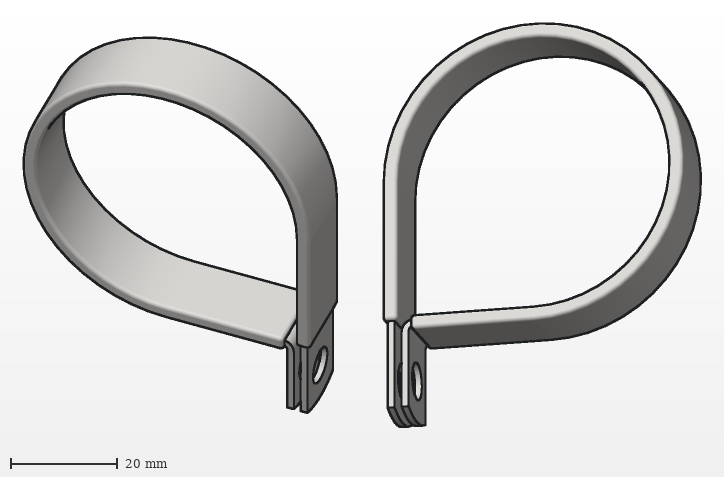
import cadquery as cq
import math

overall_height = 74.15
loop_diameter = 58.0
jacket_width = 14.3

jacket_thickness = 2.8
edge_round = 0.75
side_leg_length = 27.0
bottom_leg_length = 23.65

strap_thickness = jacket_thickness - 2 * edge_round
strap_width = jacket_width - 2 * edge_round
strap_embed = 2.2
tab_outer_x = 25.5
bend_inner_radius = 1.0
tip_sag = 1.3
hole_diameter = 7.1
hole_above_tip = 8.0

outer_radius = loop_diameter / 2
inner_radius = outer_radius - jacket_thickness
strap_outer_radius = outer_radius - edge_round
strap_inner_radius = strap_outer_radius - strap_thickness
tip_z = outer_radius - overall_height
bend_outer_radius = bend_inner_radius + strap_thickness
tab_inner_x = tab_outer_x - strap_thickness
bend_start_x = tab_outer_x - bend_outer_radius


def extrude_centred(outline, width):
    """Extrude a closed XZ outline by a width centred on Y = 0."""
    return outline.extrude(width / 2, both=True)


def make_jacket():
    diagonal = math.sqrt(0.5)
    outline = (
        cq.Workplane("XZ")
        .moveTo(outer_radius, -side_leg_length)
        .lineTo(outer_radius, 0)
        .threePointArc((-outer_radius * diagonal, outer_radius * diagonal), (0, -outer_radius))
        .lineTo(bottom_leg_length, -outer_radius)
        .lineTo(bottom_leg_length, -inner_radius)
        .lineTo(0, -inner_radius)
        .threePointArc((-inner_radius * diagonal, inner_radius * diagonal), (inner_radius, 0))
        .lineTo(inner_radius, -side_leg_length)
        .close()
    )
    body = extrude_centred(outline, jacket_width)
    side_end = cq.selectors.NearestToPointSelector(
        ((inner_radius + outer_radius) / 2, 0, -side_leg_length)
    )
    bottom_end = cq.selectors.NearestToPointSelector(
        (bottom_leg_length, 0, -(inner_radius + outer_radius) / 2)
    )
    rounded_faces = body.faces("<Y or >Y").add(body.faces(side_end)).add(body.faces(bottom_end))
    return rounded_faces.edges().fillet(edge_round)


def make_side_tab():
    outline = (
        cq.Workplane("XZ")
        .moveTo(strap_inner_radius, tip_z)
        .lineTo(strap_outer_radius, tip_z)
        .lineTo(strap_outer_radius, strap_embed - side_leg_length)
        .lineTo(strap_inner_radius, strap_embed - side_leg_length)
        .close()
    )
    return extrude_centred(outline, strap_width)


def make_bent_tab():
    bend_z = -strap_outer_radius - bend_inner_radius
    embed_x = bottom_leg_length - strap_embed
    outline = (
        cq.Workplane("XZ")
        .moveTo(embed_x, -strap_inner_radius)
        .lineTo(bend_start_x, -strap_inner_radius)
        .radiusArc((tab_outer_x, bend_z), bend_outer_radius)
        .lineTo(tab_outer_x, tip_z)
        .lineTo(tab_inner_x, tip_z)
        .lineTo(tab_inner_x, bend_z)
        .radiusArc((bend_start_x, -strap_outer_radius), -bend_inner_radius)
        .lineTo(embed_x, -strap_outer_radius)
        .close()
    )
    return extrude_centred(outline, strap_width)


def make_tab_envelope():
    """Region kept when shaping both tabs: an arched tip and a screw hole, running along X."""
    half_width = strap_width / 2
    profile = (
        cq.Workplane("YZ")
        .moveTo(-half_width, 0)
        .lineTo(-half_width, tip_z + tip_sag)
        .threePointArc((0, tip_z), (half_width, tip_z + tip_sag))
        .lineTo(half_width, 0)
        .close()
        .extrude(outer_radius)
    )
    hole = (
        cq.Workplane("YZ")
        .center(0, tip_z + hole_above_tip)
        .circle(hole_diameter / 2)
        .extrude(outer_radius)
    )
    return profile.cut(hole)


envelope = make_tab_envelope()
result = make_jacket()
for tab in (make_side_tab(), make_bent_tab()):
    result = result.union(tab.intersect(envelope))